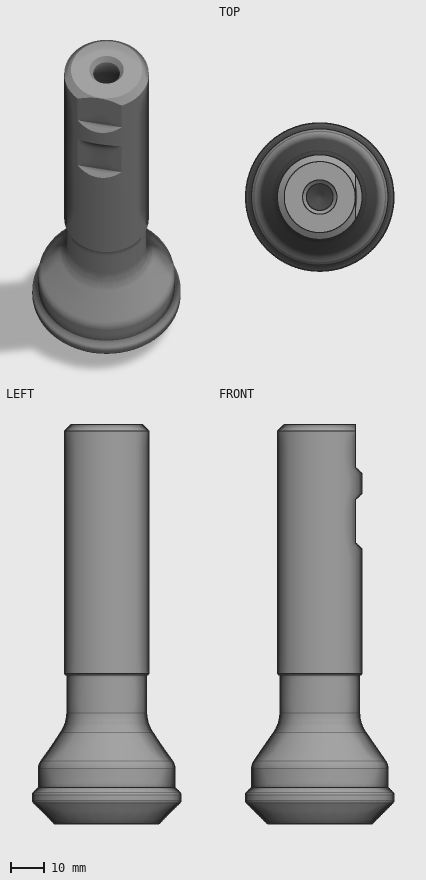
import cadquery as cq
import math

total_height = 120.0

pad_radius = 22.3
pad_bottom_radius = 15.7
pad_top = 10.9
pad_edge_round = 1.1
pad_bottom_round = 0.5

bell_radius = 20.5
bell_cylinder_top = 16.5
bell_shoulder_round = 4.0
bell_cone_angle = math.radians(36)
neck_radius = 12.0
neck_bottom = 33.2
neck_round = 10.0
shaft_radius = 12.7
shaft_bottom = 44.8
shaft_edge_chamfer = 0.4
top_chamfer_width = 2.0
top_chamfer_height = 2.0

flat_distance = 10.8
flat_bevel = shaft_radius - flat_distance
upper_flat_bottom = 107.0
lower_flat_top = 97.5
lower_flat_bottom = 84.4

hole_diameter = 8.0
hole_depth = 14.4
countersink_diameter = 10.3
countersink_depth = 1.7
drill_point_angle = math.radians(118)


def make_pad():
    """Disc with 45 degree conical faces, rounded at the rim and the bottom edge."""
    rim_bottom = pad_radius - pad_bottom_radius
    rim_top = pad_top - (pad_radius - bell_radius)
    pad = (
        cq.Workplane("XZ")
        .moveTo(0, 0)
        .lineTo(pad_bottom_radius, 0)
        .lineTo(pad_radius, rim_bottom)
        .lineTo(pad_radius, rim_top)
        .lineTo(bell_radius, pad_top)
        .lineTo(0, pad_top)
        .close()
        .revolve(360, (0, 0, 0), (0, 1, 0))
    )
    rim_edges = cq.selectors.BoxSelector(
        (-pad_radius, -pad_radius, rim_bottom - pad_edge_round),
        (pad_radius, pad_radius, rim_top + pad_edge_round),
    )
    pad = pad.edges("%CIRCLE").edges(rim_edges).fillet(pad_edge_round)
    return pad.faces("<Z").edges().fillet(pad_bottom_round)


def make_turned_stem():
    """Revolved stem: the bell blends into the neck through two tangent arcs."""
    sine = math.sin(bell_cone_angle)
    cosine = math.cos(bell_cone_angle)
    half_sine = math.sin(bell_cone_angle / 2)
    half_cosine = math.cos(bell_cone_angle / 2)
    shoulder_center = bell_radius - bell_shoulder_round
    neck_center = neck_radius + neck_round

    shoulder_mid = (
        shoulder_center + bell_shoulder_round * half_cosine,
        bell_cylinder_top + bell_shoulder_round * half_sine,
    )
    shoulder_end = (
        shoulder_center + bell_shoulder_round * cosine,
        bell_cylinder_top + bell_shoulder_round * sine,
    )
    neck_start = (neck_center - neck_round * cosine, neck_bottom - neck_round * sine)
    neck_mid = (neck_center - neck_round * half_cosine, neck_bottom - neck_round * half_sine)

    return (
        cq.Workplane("XZ")
        .moveTo(0, pad_top)
        .lineTo(bell_radius, pad_top)
        .lineTo(bell_radius, bell_cylinder_top)
        .threePointArc(shoulder_mid, shoulder_end)
        .lineTo(*neck_start)
        .threePointArc(neck_mid, (neck_radius, neck_bottom))
        .lineTo(neck_radius, shaft_bottom)
        .lineTo(shaft_radius - shaft_edge_chamfer, shaft_bottom)
        .lineTo(shaft_radius, shaft_bottom + shaft_edge_chamfer)
        .lineTo(shaft_radius, total_height - top_chamfer_height)
        .lineTo(shaft_radius - top_chamfer_width, total_height)
        .lineTo(0, total_height)
        .close()
        .revolve(360, (0, 0, 0), (0, 1, 0))
    )


def make_flat_cutter(bottom, top, top_bevel):
    """Prism that mills a flat; its ends slope outwards at 45 degrees or stay square."""
    return (
        cq.Workplane("XZ")
        .moveTo(flat_distance, bottom)
        .lineTo(flat_distance + flat_bevel, bottom - flat_bevel)
        .lineTo(flat_distance + flat_bevel, top + top_bevel)
        .lineTo(flat_distance, top)
        .close()
        .extrude(shaft_radius, both=True)
    )


def make_hole_cutter():
    """Blind drilled hole with a countersink and a conical drill point."""
    hole_radius = hole_diameter / 2
    countersink_radius = countersink_diameter / 2
    hole_floor = total_height - hole_depth
    point_height = hole_radius / math.tan(drill_point_angle / 2)
    return (
        cq.Workplane("XZ")
        .moveTo(0, hole_floor - point_height)
        .lineTo(hole_radius, hole_floor)
        .lineTo(hole_radius, total_height - countersink_depth)
        .lineTo(countersink_radius, total_height)
        .lineTo(0, total_height)
        .close()
        .revolve(360, (0, 0, 0), (0, 1, 0))
    )


def make_stem():
    """Turned stem with its two flats and the centre hole."""
    upper_flat = make_flat_cutter(upper_flat_bottom, total_height, 0)
    lower_flat = make_flat_cutter(lower_flat_bottom, lower_flat_top, flat_bevel)
    return make_turned_stem().cut(upper_flat).cut(lower_flat).cut(make_hole_cutter())


pad = make_pad()
stem = make_stem()
result = cq.Compound.makeCompound([pad.val(), stem.val()])